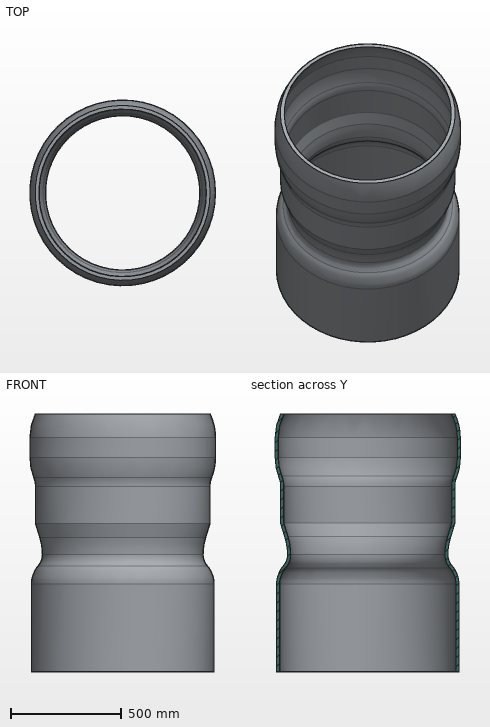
import cadquery as cq
import math

total_height = 1170.0
skirt_diameter = 830.0
skirt_bore = 798.0
wall = (skirt_diameter - skirt_bore) / 2

skirt_radius = skirt_diameter / 2
neck_bore = 698.0
neck_radius = neck_bore / 2 + wall
band_radius = 792.0 / 2
collar_radius = 842.0 / 2

skirt_top = 399.0
shoulder_joint = 481.0
cone_height = 64.0
cone_angle = math.radians(16.9)
band_bottom = 673.0
band_top = 840.0
collar_joint = 882.0
collar_bottom = 972.0
collar_top = 1062.0


def s_curve(start_radius, end_radius, start_height, end_height, joint_height):
    """Return the joint radius and lean angle of two tangent arcs joining two upright walls."""
    rise = end_height - start_height
    widening = end_radius - start_radius
    fraction = (joint_height - start_height) / rise
    return start_radius + fraction * widening, 2 * math.atan(widening / rise)


cone_bottom = band_bottom - cone_height
cone_radius = band_radius - cone_height * math.tan(cone_angle)
throat_arc_radius = (cone_radius - neck_radius) / (1 - math.cos(cone_angle))
neck_height = cone_bottom - throat_arc_radius * math.sin(cone_angle)

shoulder_radius, shoulder_angle = s_curve(
    skirt_radius, neck_radius, skirt_top, neck_height, shoulder_joint)
swell_radius, swell_angle = s_curve(
    band_radius, collar_radius, band_top, collar_bottom, collar_joint)

collar_arc_radius = (collar_bottom - collar_joint) / math.sin(swell_angle)


def offset_point(radius, height, lean, inset):
    """Move a profile point inward along its normal; lean is positive where the wall widens upward."""
    return radius - inset * math.cos(lean), height + inset * math.sin(lean)


def turned_body(inset):
    """Solid of revolution bounded by the outer profile moved inward by inset."""
    corner_rise = inset * math.tan(cone_angle / 2)
    lip_arc_radius = collar_arc_radius - inset
    lip_drop = lip_arc_radius - math.sqrt(lip_arc_radius**2 - (total_height - collar_top) ** 2)
    collar = collar_radius - inset
    shoulder_point = offset_point(shoulder_radius, shoulder_joint, shoulder_angle, inset)
    cone_point = offset_point(cone_radius, cone_bottom, cone_angle, inset)
    swell_point = offset_point(swell_radius, collar_joint, swell_angle, inset)
    return (
        cq.Workplane("XZ")
        .moveTo(0, 0)
        .lineTo(skirt_radius - inset, 0)
        .lineTo(skirt_radius - inset, skirt_top)
        .tangentArcPoint(shoulder_point, relative=False)
        .tangentArcPoint((neck_radius - inset, neck_height), relative=False)
        .tangentArcPoint(cone_point, relative=False)
        .lineTo(band_radius - inset, band_bottom + corner_rise)
        .lineTo(band_radius - inset, band_top)
        .tangentArcPoint(swell_point, relative=False)
        .tangentArcPoint((collar, collar_bottom), relative=False)
        .lineTo(collar, collar_top)
        .tangentArcPoint((collar - lip_drop, total_height), relative=False)
        .lineTo(0, total_height)
        .close()
        .revolve(360, (0, 0, 0), (0, 1, 0))
    )


result = turned_body(0).cut(turned_body(wall))